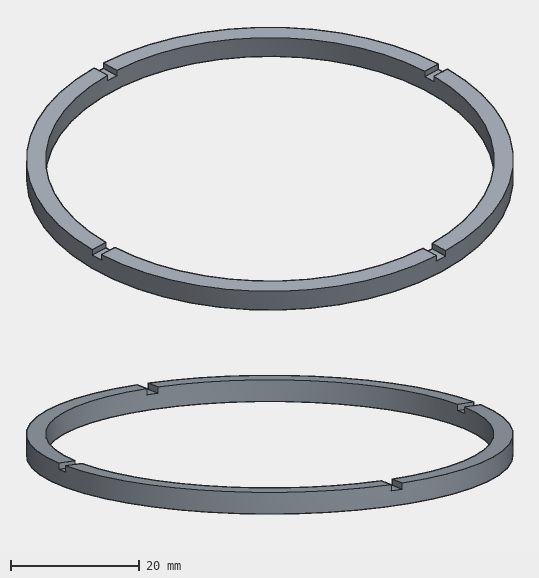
import cadquery as cq

outer_diameter = 76.0
inner_diameter = 70.0
ring_height = 3.5

slot_width = 2.0
slot_depth = 1.0


def make_ring():
    """Flat ring standing on the XY plane."""
    return (
        cq.Workplane("XY")
        .circle(outer_diameter / 2)
        .circle(inner_diameter / 2)
        .extrude(ring_height)
    )


def cut_top_slot(body, angle):
    """Cut a slot across the full diameter of the top face, turned by angle degrees about Z."""
    slot = (
        cq.Workplane("XY")
        .workplane(offset=ring_height - slot_depth)
        .rect(outer_diameter, slot_width)
        .extrude(slot_depth)
        .rotate((0, 0, 0), (0, 0, 1), angle)
    )
    return body.cut(slot)


result = make_ring()
for slot_angle in (0, 90):
    result = cut_top_slot(result, slot_angle)